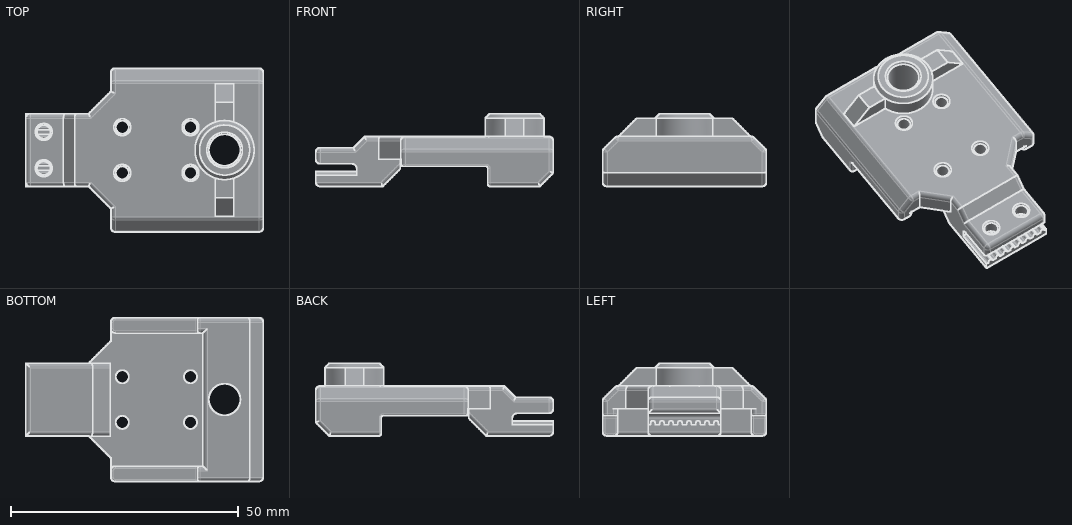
import cadquery as cq

LENGTH = 52.2
WIDTH = 36.0
HEIGHT = 16.0
ROUND = 1.0
SMALL_ROUND = 0.45
CORNER_TOLERANCE = 0.005

PLATE_TOP = 11.0
PLATE_BOTTOM = 6.0
BODY_FRONT = 18.7
SIDE_WALL_BOTTOM = 4.45
SIDE_WALL = 3.4
LUG_FRONT = 37.8
CROSS_BAR_FRONT = 38.95
EDGE_CHAMFER = 3.0

NECK_WIDTH = 16.0
NECK_TOP = 8.55
NECK_RAMP_START = 8.3
NECK_FOOT_END = 14.7
NECK_BACK = 18.6
FLARE_START = 13.85
SLOT_DEPTH = 9.0
SLOT_TOP = 4.95
TOOTH_ROOT = 2.5
TOOTH_HEIGHT = 0.85
TOOTH_WIDTH = 0.95
TOOTH_PITCH = 2.0
TOOTH_COUNT = 8
TOOTH_TIP_ROUND = 0.4
TOOTH_ROOT_ROUND = 0.15

CLAMP_HOLE = 3.0
CLAMP_HOLE_X = 3.95
CLAMP_HOLE_SPACING = 8.0
PLATE_HOLE = 2.8
PLATE_HOLE_X = 28.7
PLATE_HOLE_SPACING_X = 15.0
PLATE_HOLE_SPACING_Y = 10.0
SCREW_RIM = 3.7

BOSS_X = 43.7
BOSS_DIAMETER = 13.0
BOSS_CHAMFER = 1.0
BOSS_BORE = 6.9
BOSS_RIM = 7.85
RIB_WIDTH = 4.0
RIB_LENGTH = 29.0

half_width = WIDTH / 2
half_neck = NECK_WIDTH / 2
flare_half_width = half_neck + BODY_FRONT - FLARE_START
neck_ramp_end = NECK_RAMP_START + PLATE_TOP - NECK_TOP
boss_shoulder = HEIGHT - BOSS_CHAMFER


def side_profile(points, width):
    """Extrude an XZ outline symmetrically about Y = 0."""
    return cq.Workplane("XZ").polyline(points).close().extrude(width / 2, both=True)


def block(x0, x1, width, z0, z1):
    """Box centred on Y = 0."""
    size = (x1 - x0, width, z1 - z0)
    return cq.Workplane("XY").box(*size, centered=(False, True, False)).translate((x0, 0, z0))


def edges_along(shape, *paths):
    """Straight edges joining consecutive corners of each path, and their mirror images across Y = 0."""
    middles = []
    for path in paths:
        for start, end in zip(path, path[1:]):
            middle = (cq.Vector(*start) + cq.Vector(*end)) * 0.5
            middles += [middle, cq.Vector(middle.x, -middle.y, middle.z)]
    return shape.edges().filter(
        lambda edge: any((edge.Center() - middle).Length < CORNER_TOLERANCE for middle in middles)
    )


def make_body():
    """Wide plate with side walls, rear lugs and a cross bar around an open cavity."""
    body = side_profile(
        [
            (BODY_FRONT, SIDE_WALL_BOTTOM),
            (LUG_FRONT, SIDE_WALL_BOTTOM),
            (LUG_FRONT, 0),
            (LENGTH - EDGE_CHAMFER, 0),
            (LENGTH, EDGE_CHAMFER),
            (LENGTH, PLATE_TOP),
            (BODY_FRONT, PLATE_TOP),
        ],
        WIDTH,
    )
    body = body.edges("|X and >Z").chamfer(EDGE_CHAMFER)
    cavity = block(0, CROSS_BAR_FRONT, WIDTH - 2 * SIDE_WALL, 0, PLATE_BOTTOM)
    return body.cut(cavity)


def make_neck():
    """Stepped neck with a sloped foot, flaring out at 45 degrees to meet the body."""
    neck = side_profile(
        [
            (0, 0),
            (NECK_FOOT_END, 0),
            (NECK_BACK, NECK_BACK - NECK_FOOT_END),
            (NECK_BACK, PLATE_BOTTOM),
            (BODY_FRONT, PLATE_BOTTOM),
            (BODY_FRONT, PLATE_TOP),
            (neck_ramp_end, PLATE_TOP),
            (NECK_RAMP_START, NECK_TOP),
            (0, NECK_TOP),
        ],
        NECK_WIDTH,
    )
    flare = (
        cq.Workplane("XY", origin=(0, 0, PLATE_BOTTOM))
        .polyline(
            [
                (FLARE_START, -half_neck),
                (BODY_FRONT, -flare_half_width),
                (BODY_FRONT, flare_half_width),
                (FLARE_START, half_neck),
            ]
        )
        .close()
        .extrude(PLATE_TOP - PLATE_BOTTOM)
    )
    return neck.union(flare)


def make_slot():
    """Belt slot, rounded along the top of its closed end."""
    slot = block(0, SLOT_DEPTH, NECK_WIDTH, TOOTH_ROOT, SLOT_TOP)
    return slot.edges(">X and >Z").fillet(ROUND)


def make_teeth():
    """Row of belt teeth on the lower jaw, with rounded tips and flared roots."""
    half_tooth = TOOTH_WIDTH / 2
    half_root = half_tooth + TOOTH_ROOT_ROUND
    half_tip = half_tooth - TOOTH_TIP_ROUND
    flank_bottom = TOOTH_ROOT + TOOTH_ROOT_ROUND
    tip = TOOTH_ROOT + TOOTH_HEIGHT
    flank_top = tip - TOOTH_TIP_ROUND
    first = -(TOOTH_COUNT - 1) / 2 * TOOTH_PITCH
    tooth = (
        cq.Workplane("YZ")
        .moveTo(-half_root, TOOTH_ROOT)
        .radiusArc((-half_tooth, flank_bottom), -TOOTH_ROOT_ROUND)
        .lineTo(-half_tooth, flank_top)
        .radiusArc((-half_tip, tip), TOOTH_TIP_ROUND)
        .lineTo(half_tip, tip)
        .radiusArc((half_tooth, flank_top), TOOTH_TIP_ROUND)
        .lineTo(half_tooth, flank_bottom)
        .radiusArc((half_root, TOOTH_ROOT), -TOOTH_ROOT_ROUND)
        .close()
        .extrude(SLOT_DEPTH)
    )
    teeth = cq.Workplane("XY")
    for index in range(TOOTH_COUNT):
        teeth = teeth.union(tooth.translate((0, first + index * TOOTH_PITCH, 0)))
    return teeth


def round_large_edges(shape):
    """Round the outer rim of the body and neck, the jaw tip and the feet."""
    chamfer_top = half_width - EDGE_CHAMFER
    chamfer_base = PLATE_TOP - EDGE_CHAMFER
    inner_wall = half_width - SIDE_WALL
    front_rim = [
        (0, half_neck, NECK_TOP),
        (NECK_RAMP_START, half_neck, NECK_TOP),
        (neck_ramp_end, half_neck, PLATE_TOP),
        (FLARE_START, half_neck, PLATE_TOP),
        (BODY_FRONT, flare_half_width, PLATE_TOP),
        (BODY_FRONT, chamfer_top, PLATE_TOP),
        (BODY_FRONT, half_width, chamfer_base),
        (BODY_FRONT, half_width, SIDE_WALL_BOTTOM),
    ]
    jaw_tip = [
        (0, -half_neck, NECK_TOP),
        (0, half_neck, NECK_TOP),
        (0, half_neck, SLOT_TOP),
        (0, -half_neck, SLOT_TOP),
    ]
    upper_side = [(BODY_FRONT, chamfer_top, PLATE_TOP), (LENGTH, chamfer_top, PLATE_TOP)]
    lower_side = [(BODY_FRONT, half_width, chamfer_base), (LENGTH, half_width, chamfer_base)]
    back_rim = [
        (LENGTH, -chamfer_top, PLATE_TOP),
        (LENGTH, chamfer_top, PLATE_TOP),
        (LENGTH, half_width, chamfer_base),
        (LENGTH, half_width, EDGE_CHAMFER),
        (LENGTH - EDGE_CHAMFER, half_width, 0),
        (LUG_FRONT, half_width, 0),
    ]
    lug_inside = [
        (LUG_FRONT, inner_wall, 0),
        (CROSS_BAR_FRONT, inner_wall, 0),
        (CROSS_BAR_FRONT, -inner_wall, 0),
    ]
    wall_inside = [(BODY_FRONT, inner_wall, SIDE_WALL_BOTTOM), (BODY_FRONT, inner_wall, PLATE_BOTTOM)]
    neck_foot = [
        (0, -half_neck, 0),
        (0, half_neck, 0),
        (NECK_FOOT_END, half_neck, 0),
        (NECK_BACK, half_neck, NECK_BACK - NECK_FOOT_END),
    ]
    paths = (front_rim, jaw_tip, upper_side, lower_side, back_rim, lug_inside, wall_inside, neck_foot)
    return edges_along(shape, *paths).fillet(ROUND)


def round_notch_edges(shape):
    """Round the edges of the side notches: undersides of the walls and fronts of the lugs."""
    notch_faces = shape.faces().filter(
        lambda face: face.geomType() == "PLANE"
        and (
            abs(face.Center().z - SIDE_WALL_BOTTOM) < CORNER_TOLERANCE
            or abs(face.Center().x - LUG_FRONT) < CORNER_TOLERANCE
        )
        and abs(face.Center().y) > flare_half_width
    )
    return notch_faces.edges().fillet(SMALL_ROUND)


def countersunk_cutter(bore, rim, bottom, top):
    """Drill from bottom to top that flares at 45 degrees to the rim diameter at the top."""
    flare = (rim - bore) / 2
    drill = cq.Workplane("XY", origin=(0, 0, bottom)).circle(bore / 2).extrude(top - bottom)
    cone = cq.Solid.makeCone(bore / 2, rim / 2, flare, pnt=cq.Vector(0, 0, top - flare))
    return drill.union(cq.Workplane(cone))


def drill_holes(shape):
    """Screw holes in the upper jaw and the plate, and the bore through the boss."""
    clamp_drill = countersunk_cutter(CLAMP_HOLE, SCREW_RIM, SLOT_TOP, NECK_TOP)
    plate_drill = countersunk_cutter(PLATE_HOLE, SCREW_RIM, PLATE_BOTTOM, PLATE_TOP)
    boss_drill = countersunk_cutter(BOSS_BORE, BOSS_RIM, 0, HEIGHT)
    for side in (-1, 1):
        shape = shape.cut(clamp_drill.translate((CLAMP_HOLE_X, side * CLAMP_HOLE_SPACING / 2, 0)))
        for end in (-1, 1):
            x = PLATE_HOLE_X + end * PLATE_HOLE_SPACING_X / 2
            shape = shape.cut(plate_drill.translate((x, side * PLATE_HOLE_SPACING_Y / 2, 0)))
    return shape.cut(boss_drill.translate((BOSS_X, 0, 0)))


def make_boss():
    """Chamfered round boss with a sloped rib across it."""
    boss = (
        cq.Workplane("XY", origin=(BOSS_X, 0, PLATE_TOP))
        .circle(BOSS_DIAMETER / 2)
        .extrude(HEIGHT - PLATE_TOP)
        .faces(">Z")
        .chamfer(BOSS_CHAMFER)
    )
    rib_foot = RIB_LENGTH / 2
    rib_crest = rib_foot - (boss_shoulder - PLATE_TOP)
    rib = (
        cq.Workplane("YZ", origin=(BOSS_X, 0, 0))
        .polyline(
            [
                (-rib_foot, PLATE_TOP),
                (rib_foot, PLATE_TOP),
                (rib_crest, boss_shoulder),
                (-rib_crest, boss_shoulder),
            ]
        )
        .close()
        .extrude(RIB_WIDTH / 2, both=True)
    )
    return boss.union(rib)


clamp = make_body().union(make_neck()).clean().cut(make_slot())
clamp = round_notch_edges(round_large_edges(clamp))
clamp = clamp.union(make_teeth()).union(make_boss())
result = drill_holes(clamp)